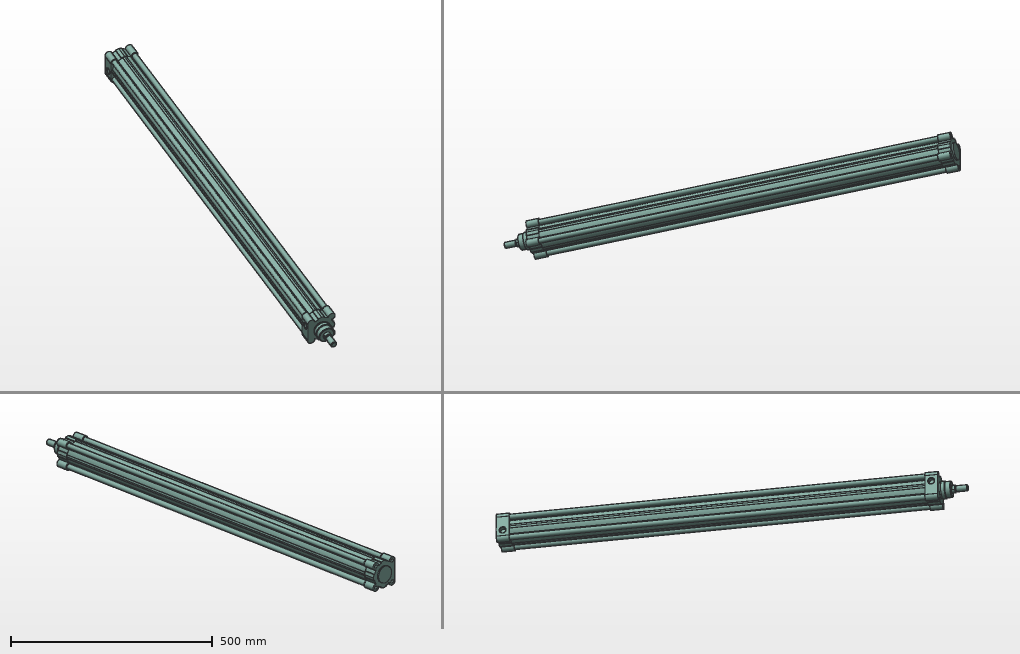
import cadquery as cq

cap_length = 32.5
barrel_length = 1056.0
rear_boss_length = 4.0
front_face_x = 2 * cap_length + barrel_length

cap_half_width = 38.0
screw_spacing = 56.5
cap_lobe_radius = cap_half_width - screw_spacing / 2
body_radius = 33.5
port_face_recess = 0.5
port_face_width = 52.0
cap_ridge_width = 17.0
cap_ridge_peak = 36.8
cap_ridge_edge = 34.8

barrel_lobe_radius = 6.75
barrel_groove_width = 3.5
barrel_groove_floor = 25.0
barrel_ridge_width = 10.0
barrel_ridge_peak = 35.2
barrel_ridge_edge = 34.2

boss_diameter = 45.0
screw_hole_diameter = 8.0
screw_hole_depth = 20.0
port_diameter = 18.0
port_depth = 12.0
port_chamfer = 1.5
port_height = 10.5
front_boss_length = 14.5
front_boss_chamfer = 1.5
front_boss_neck_length = 4.0
front_boss_neck_diameter = 43.0
gland_diameter = 41.0
gland_length = 14.0
gland_chamfer = 1.5

rod_diameter = 20.0
rod_extension = 37.0
flat_spacing = 17.0
flat_length = 6.5
thread_diameter = 16.0
thread_length = 32.0
thread_relief_length = 3.0
thread_relief_diameter = 14.5
thread_chamfer = 2.0


def cylinder_x(start, length, diameter):
    """Cylinder along +X from the plane X = start."""
    return cq.Workplane("YZ", origin=(start, 0, 0)).circle(diameter / 2).extrude(length)


def block_x(start, length, y_range, z_range):
    """Box along +X from the plane X = start, between the given Y and Z limits."""
    width = y_range[1] - y_range[0]
    height = z_range[1] - z_range[0]
    origin = (start, sum(y_range) / 2, sum(z_range) / 2)
    return cq.Workplane("YZ", origin=origin).rect(width, height).extrude(length)


def corner_cylinders(start, length, diameter):
    """Four cylinders along +X on the screw centres."""
    plane = cq.Workplane("YZ", origin=(start, 0, 0))
    centres = plane.rect(screw_spacing, screw_spacing, forConstruction=True).vertices()
    return centres.circle(diameter / 2).extrude(length)


def gable_ridge(start, length, width, peak, edge):
    """Ridge along +X on the +Z side: upright flanks under two faces that slope down from its crest."""
    half = width / 2
    outline = [(-half, 0), (half, 0), (half, edge), (0, peak), (-half, edge)]
    return cq.Workplane("YZ", origin=(start, 0, 0)).polyline(outline).close().extrude(length)


def turned(shape, angle):
    """Shape turned about the X axis."""
    return shape.rotate((0, 0, 0), (1, 0, 0), angle)


def add_ridges(body, ridge, angles):
    """Join copies of the ridge to the body, each turned about the X axis."""
    for angle in angles:
        body = body.union(turned(ridge, angle))
    return body


def build_cap(start, port_z):
    """Round body with four screw lobes, a flat port face on -Y and a ridge on each other side."""
    cap = cylinder_x(start, cap_length, 2 * body_radius)
    cap = cap.union(corner_cylinders(start, cap_length, 2 * cap_lobe_radius))
    ridge = gable_ridge(start, cap_length, cap_ridge_width, cap_ridge_peak, cap_ridge_edge)
    cap = add_ridges(cap, ridge, (0, 180, 270))

    half_screws = screw_spacing / 2
    cap = cap.union(block_x(start, cap_length, (-cap_half_width, 0), (-half_screws, half_screws)))
    port_face_y = port_face_recess - cap_half_width
    half_face = port_face_width / 2
    cap = cap.cut(block_x(start, cap_length, (-cap_half_width, port_face_y), (-half_face, half_face)))

    port_origin = (start + cap_length / 2, port_face_y, port_z)
    port_plane = cq.Workplane("XZ", origin=port_origin)
    mouth_radius = port_diameter / 2
    bore_radius = mouth_radius - port_chamfer
    port = port_plane.circle(bore_radius).extrude(-port_depth)
    mouth = port_plane.circle(mouth_radius).workplane(offset=-port_chamfer).circle(bore_radius).loft()
    return cap.cut(port).cut(mouth)


def build_rear_cap():
    """Cap with a shallow centring boss and four screw holes in its outer face."""
    cap = build_cap(0, -port_height)
    cap = cap.union(cylinder_x(-rear_boss_length, rear_boss_length, boss_diameter))
    return cap.cut(corner_cylinders(0, screw_hole_depth, screw_hole_diameter))


def build_front_cap():
    """Cap with a necked boss and a rod gland, bored through for the rod."""
    cap = build_cap(cap_length + barrel_length, port_height)
    cap = cap.union(cylinder_x(front_face_x, front_boss_neck_length, front_boss_neck_diameter))
    flange_length = front_boss_length - front_boss_neck_length
    flange = cylinder_x(front_face_x + front_boss_neck_length, flange_length, boss_diameter)
    cap = cap.union(flange.faces(">X").chamfer(front_boss_chamfer))
    gland = cylinder_x(front_face_x + front_boss_length, gland_length, gland_diameter)
    cap = cap.union(gland.faces(">X").chamfer(gland_chamfer))
    bore_length = cap_length + front_boss_length + gland_length
    return cap.cut(cylinder_x(cap_length + barrel_length, bore_length, rod_diameter))


def build_barrel():
    """Round profile with grooves beside its four screw lobes and a ridge along each side."""
    barrel = cylinder_x(cap_length, barrel_length, 2 * body_radius)
    barrel = barrel.union(corner_cylinders(cap_length, barrel_length, 2 * barrel_lobe_radius))
    half_screws = screw_spacing / 2
    lobe_side = half_screws - barrel_lobe_radius
    root_span = (lobe_side, half_screws)
    groove_span = (lobe_side - barrel_groove_width, lobe_side)
    groove_depth_span = (barrel_groove_floor, cap_half_width)
    lobe_root = block_x(cap_length, barrel_length, root_span, root_span)
    top_groove = block_x(cap_length, barrel_length, groove_span, groove_depth_span)
    side_groove = block_x(cap_length, barrel_length, groove_depth_span, groove_span)
    for angle in (0, 90, 180, 270):
        barrel = barrel.union(turned(lobe_root, angle))
        barrel = barrel.cut(turned(top_groove, angle)).cut(turned(side_groove, angle))

    ridge = gable_ridge(cap_length, barrel_length, barrel_ridge_width, barrel_ridge_peak, barrel_ridge_edge)
    return add_ridges(barrel, ridge, (0, 90, 180, 270))


def build_rod():
    """Rod through the front cap, with spanner flats and a threaded end."""
    start = cap_length + barrel_length
    rod_end = front_face_x + rod_extension
    rod = cylinder_x(start, rod_end - start, rod_diameter)
    flats_start = rod_end - flat_length
    half_flats = flat_spacing / 2
    for y_range in ((half_flats, rod_diameter), (-rod_diameter, -half_flats)):
        rod = rod.cut(block_x(flats_start, flat_length, y_range, (-rod_diameter, rod_diameter)))
    rod = rod.union(cylinder_x(rod_end, thread_relief_length, thread_relief_diameter))
    thread_start = rod_end + thread_relief_length
    thread = cylinder_x(thread_start, thread_length - thread_relief_length, thread_diameter)
    return rod.union(thread.faces(">X").chamfer(thread_chamfer))


rear_cap = build_rear_cap()
barrel = build_barrel()
front_cap = build_front_cap()
rod = build_rod()

result = cq.Compound.makeCompound([rear_cap.val(), barrel.val(), front_cap.val(), rod.val()])